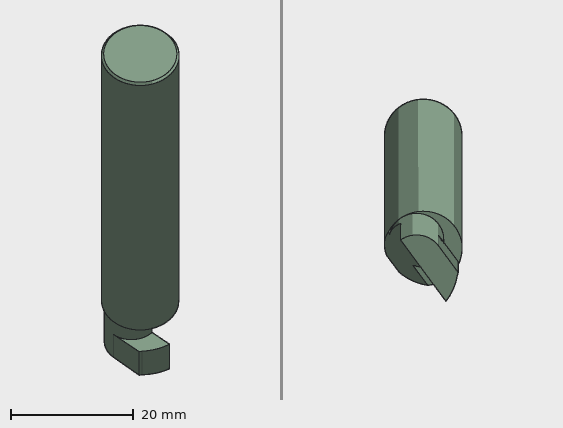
import cadquery as cq
import math

shank_diameter = 12.7
shank_radius = shank_diameter / 2
overall_length = 76.2
shank_bottom = 12.7
flat_distance = 6.1
chamfer_size = 0.38

neck_radius = 4.45
neck_center_x = neck_radius - shank_radius

head_height = 6.35
head_flat_end_x = 3.62
facet_width = 0.3
facet_depth = 0.4
relief_radius = 9.5

runout_start = 9.65

end_angle_x = math.radians(2)
end_angle_y = math.radians(2)


def make_shank():
    length = overall_length - shank_bottom
    edge_radius = shank_radius - chamfer_size
    shoulder = overall_length - chamfer_size
    profile = (
        cq.Workplane("XZ")
        .moveTo(0, shank_bottom)
        .lineTo(shank_radius, shank_bottom)
        .lineTo(shank_radius, shoulder)
        .lineTo(edge_radius, overall_length)
        .lineTo(0, overall_length)
        .close()
    )
    shank = profile.revolve(360, (0, 0, 0), (0, 1, 0))
    flat_side = (
        cq.Workplane("XY", origin=(0, flat_distance, shank_bottom))
        .rect(shank_diameter, shank_diameter)
        .extrude(length)
        .translate((0, shank_radius, 0))
    )
    return shank.cut(flat_side)


def make_neck():
    return (
        cq.Workplane("XY")
        .center(neck_center_x, 0)
        .circle(neck_radius)
        .extrude(shank_bottom)
    )


def make_head():
    facet_end_x = head_flat_end_x + facet_width
    facet_end_y = facet_depth - neck_radius
    return (
        cq.Workplane("XY")
        .moveTo(neck_center_x, 0)
        .lineTo(neck_center_x, -neck_radius)
        .lineTo(head_flat_end_x, -neck_radius)
        .lineTo(facet_end_x, facet_end_y)
        .radiusArc((shank_radius, 0), -relief_radius)
        .close()
        .extrude(head_height)
    )


def make_rake_cut():
    runout_end = runout_start + shank_diameter
    return (
        cq.Workplane("YZ")
        .moveTo(0, -shank_diameter)
        .lineTo(0, runout_start)
        .lineTo(shank_diameter, runout_end)
        .lineTo(shank_diameter, -shank_diameter)
        .close()
        .extrude(shank_radius, both=True)
    )


def make_end_clearance():
    normal = (math.tan(end_angle_x), math.tan(end_angle_y), 1)
    along_y = (0, 1, -math.tan(end_angle_y))
    plane = cq.Plane(origin=(shank_radius, 0, 0), xDir=along_y, normal=normal)
    cutter_width = 4 * shank_diameter
    return cq.Workplane(plane).rect(cutter_width, cutter_width).extrude(-shank_diameter)


body = make_shank().union(make_neck()).union(make_head())
result = body.cut(make_rake_cut()).cut(make_end_clearance())